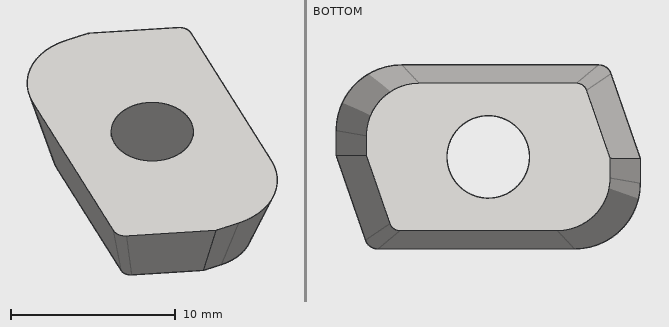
import cadquery as cq
import math

length = 18.5
width = 11.2
thickness = 5.2
hole_diameter = 5.0

bottom_scale = 0.8

large_radius = 4.0
small_radius = 0.8
bevel_angle = 19.1
bevel_start = 0.1


def rotated(points):
    """Points turned half a revolution about the Z axis."""
    return [(-x, -y) for x, y in points]


def half_outline():
    """Top outline points from the left end, along the -Y side, to the right end."""
    half_length = length / 2
    half_width = width / 2
    slope = math.radians(bevel_angle)
    diagonal = large_radius * math.sqrt(0.5)
    large_center = (-half_length + large_radius, -half_width + large_radius)
    small_center_y = -half_width + small_radius
    bevel_x = half_length + (small_center_y - bevel_start) * math.tan(slope)
    small_center = (bevel_x - small_radius / math.cos(slope), small_center_y)

    def on_small_arc(angle):
        return (
            small_center[0] + small_radius * math.cos(angle),
            small_center[1] + small_radius * math.sin(angle),
        )

    arc_end = -slope
    arc_start = -math.pi / 2
    return [
        (-half_length, -bevel_start),
        (-half_length, large_center[1]),
        (large_center[0] - diagonal, large_center[1] - diagonal),
        (large_center[0], -half_width),
        on_small_arc(arc_start),
        on_small_arc((arc_start + arc_end) / 2),
        on_small_arc(arc_end),
    ]


def add_outline(plane, scale):
    """Draw the closed outline, which repeats after half a revolution about Z."""
    half = [(scale * x, scale * y) for x, y in half_outline()]
    outline = plane.moveTo(*half[0])
    for points in (half, rotated(half)):
        start, large_start, large_middle, large_end, small_start, small_middle, small_end = points
        outline = (
            outline.lineTo(*large_start)
            .threePointArc(large_middle, large_end)
            .lineTo(*small_start)
            .threePointArc(small_middle, small_end)
        )
        if points is half:
            outline = outline.lineTo(-start[0], -start[1])
    return outline.close()


def tapered_body():
    """Body whose straight walls lean inward from the top face to the bottom face."""
    sketch = add_outline(cq.Workplane("XY"), bottom_scale)
    sketch = add_outline(sketch.workplane(offset=thickness), 1.0)
    return sketch.loft(ruled=True)


def through_hole():
    """Cylinder that cuts the central hole."""
    return cq.Workplane("XY").circle(hole_diameter / 2).extrude(thickness)


result = tapered_body().cut(through_hole())